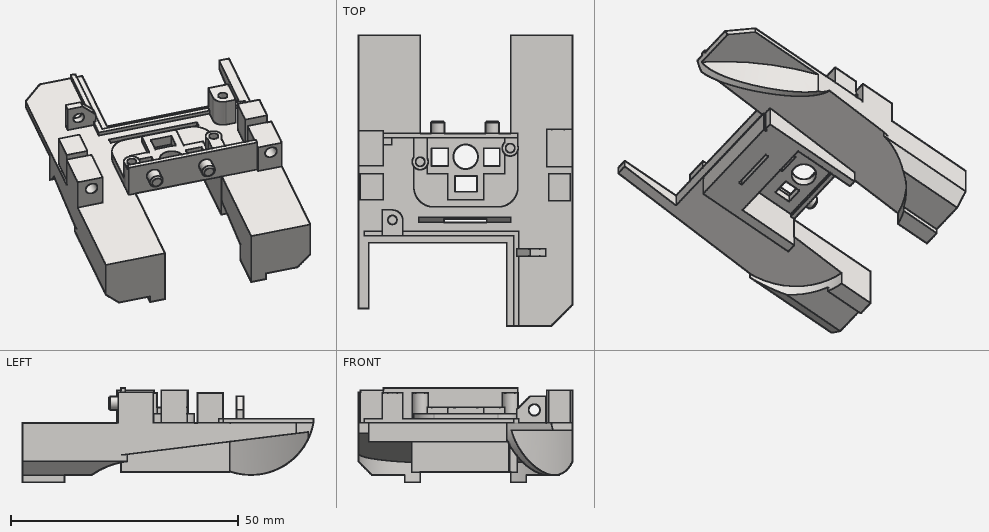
import cadquery as cq
import math

WIDTH = 47.13
LENGTH = 64.03
HEIGHT = 20.8
WALL_TOP = 7.7
BOTTOM = WALL_TOP - HEIGHT
MID_X = WIDTH / 2
OVERCUT = 1.0

DECK_BACK = 42.4
DECK_FRONT_DEPTH = 1.87
DECK_BACK_DEPTH = 7.1
LEFT_ARM_WIDTH = 2.3
LEFT_ARM_FRONT = 3.85
RIGHT_ARM_X = 32.6
BAY_BACK = 18.3
FRONT_CORNER = 4.72

WING_THICKNESS = 1.6
SKIRT_CENTER_X = MID_X - 39.5
SKIRT_CENTER_Y = 45.9
SKIRT_INNER_RADIUS = 66.0
SKIRT_THICKNESS = 1.3
SKIRT_OUTER_RADIUS = SKIRT_INNER_RADIUS + SKIRT_THICKNESS
NOSE_RADIUS = 14.0
NOSE_CENTER_Z = 2.5
NOSE_CENTER_Y = math.sqrt(NOSE_RADIUS**2 - NOSE_CENTER_Z**2)

PRONG_WIDTH = 13.65
PRONG_BOTTOM = NOSE_CENTER_Z - NOSE_RADIUS
PRONG_CHAMFER = 3.0
PRONG_TAB_WIDTH = 3.45
PRONG_HOLLOW_RADIUS = 17.38
PRONG_HOLLOW_X = 6.31
PRONG_HOLLOW_Y = 38.86
PRONG_FRONT = 38.0

BOX_LEFT = 11.7
BOX_RIGHT = 35.0
BOX_BOTTOM = -10.87
BOX_FRONT = BAY_BACK + 0.1
BOX_STRIP_WIDTH = 1.65
BOX_STRIP_RECESS = 0.2
BOX_GROOVE_WIDTH = 0.3
BOX_GROOVE_DEPTH = 0.6

CAVITY_WALL = 1.6
CAVITY_ROOF = 1.0

WALL_LEFT = 5.5
WALL_RIGHT = 35.1
WALL_THICKNESS = 1.0
WALL_FRONT = DECK_BACK - WALL_THICKNESS
WALL_KEY_WIDTH = 1.8
WALL_KEY_LENGTH = 1.55
WALL_KEY_HEIGHT = 6.0
PIN_DIAMETER = 3.0
PIN_LENGTH = 2.7
PIN_TIP = 0.4
PIN_Z = 4.3
PIN_XS = (17.45, 29.45)

PAD_LEFT = 12.2
PAD_FRONT = 26.2
PAD_HEIGHT = 2.04
PAD_CORNER = 4.4
TEE_TOP = 3.4
TEE_LEFT = 15.2
TEE_RIGHT = 32.15
TEE_ARM_FRONT = 33.5
TEE_STEM_LEFT = 19.7
TEE_STEM_RIGHT = 27.6
TEE_STEM_FRONT = 27.8

POST_TOP = 6.57
POST_DIAMETER = 3.5
POST_HOLE_DIAMETER = 2.0
POST_HOLE_DEPTH = 5.0
POST_WEB_WIDTH = 2.95
POST_CENTERS = ((13.6, 36.15), (33.4, 39.15))
SCREW_BLOCK = (5.2, 19.9, 9.77, 25.55)
SCREW_BLOCK_CORNER = 2.3
SCREW_BLOCK_HOLE = (7.5, 23.35)
SCREW_BLOCK_HOLE_DIAMETER = 2.0

REAR_LEFT_BLOCK = (0.0, 35.25, 5.5, 43.0)
REAR_LEFT_TOP = 6.75
REAR_RIGHT_BLOCK = (41.4, 35.05, WIDTH, 43.25)
FRONT_LEFT_BLOCK = (0.45, 27.8, 5.5, 33.5)
FRONT_RIGHT_BLOCK = (41.85, 27.6, 46.65, 33.5)
BLOCK_TOP = 7.2
BLOCK_BORE_DIAMETER = 2.7
BLOCK_BORE_INSET = 2.53
BLOCK_BORE_Z = 4.65

LENS_DIAMETER = 5.35
LENS_CENTER = (23.6, 37.25)
WINDOWS = (
    (16.1, 35.25, 19.75, 39.1),
    (27.6, 35.25, 31.05, 39.1),
    (21.3, 29.6, 26.05, 33.0),
)
SLOT_LEFT = 13.3
SLOT_RIGHT = 33.55
SLOT_FRONT = 22.8
SLOT_BACK = 24.0
SLOT_THROAT_LEFT = 18.85
SLOT_THROAT_RIGHT = 28.2
SLOT_THROAT_BACK = 23.55
SLOT_DEPTH = 2.5

RIB_HEIGHT = 0.9
RIB_LEFT = 1.35
RIB_FRONT = 19.9
RIB_BACK = 20.85
RIB_LEG_LEFT = 34.2
RIB_LEG_RIGHT = 35.3
LUG_LEFT = 34.8
LUG_RIGHT = 41.25
LUG_FRONT = 15.4
LUG_BACK = 17.0
LUG_TOP = 5.87
LUG_CHAMFER = 2.97
LUG_HOLE_X = 38.7
LUG_HOLE_Z = 2.83
LUG_HOLE_DIAMETER = 2.45


def box(footprint, bottom, top):
    """Upright block over a (left, front, right, back) footprint."""
    left, front, right, back = footprint
    size = (right - left, back - front, top - bottom)
    return cq.Workplane("XY").box(*size, centered=False).translate((left, front, bottom))


def rod(center, diameter, bottom, top):
    """Upright cylinder."""
    base = cq.Workplane("XY", origin=(center[0], center[1], bottom))
    return base.circle(diameter / 2).extrude(top - bottom)


def rod_along_y(x, z, diameter, front, back):
    """Cylinder running from front to back."""
    base = cq.Workplane("XZ", origin=(x, front, z))
    return base.circle(diameter / 2).extrude(front - back)


def nose_drum():
    """Drum lying along X that rounds the front of the skirt and right arm."""
    base = cq.Workplane("YZ").center(NOSE_CENTER_Y, NOSE_CENTER_Z)
    return base.circle(NOSE_RADIUS).extrude(WIDTH)


def make_deck():
    deck = (
        cq.Workplane("YZ")
        .polyline([(0, 0), (DECK_BACK, 0), (DECK_BACK, -DECK_BACK_DEPTH), (0, -DECK_FRONT_DEPTH)])
        .close()
        .extrude(WIDTH)
    )
    bay = box((LEFT_ARM_WIDTH, -OVERCUT, RIGHT_ARM_X, BAY_BACK), BOTTOM, OVERCUT)
    left_tip = box((-OVERCUT, -OVERCUT, RIGHT_ARM_X, LEFT_ARM_FRONT), BOTTOM, OVERCUT)
    ahead_of_nose = box((0, -OVERCUT, WIDTH, NOSE_CENTER_Y), BOTTOM, 0).cut(nose_drum())
    return deck.cut(bay).cut(left_tip).cut(ahead_of_nose)


def skirt_cylinder(radius):
    return rod((SKIRT_CENTER_X, SKIRT_CENTER_Y), 2 * radius, BOTTOM, 0)


def thin_wing(deck):
    """Reduce the wing outside the skirt to a flat plate."""
    below_wing = box((RIGHT_ARM_X, -OVERCUT, WIDTH, SKIRT_CENTER_Y), BOTTOM, -WING_THICKNESS)
    return deck.cut(below_wing.cut(skirt_cylinder(SKIRT_OUTER_RADIUS)))


def make_skirt():
    """Curved wall hanging below the right wing."""
    reach = box((RIGHT_ARM_X, 0, WIDTH, SKIRT_CENTER_Y), BOTTOM, 0)
    shell = skirt_cylinder(SKIRT_OUTER_RADIUS).cut(skirt_cylinder(SKIRT_INNER_RADIUS))
    return shell.intersect(reach).intersect(nose_drum())


def make_prongs():
    """Two rear prongs with a common hollow front rounded at both sides."""
    tab_outer = PRONG_WIDTH - PRONG_TAB_WIDTH
    left = (
        cq.Workplane("XZ")
        .polyline([
            (0, 0),
            (PRONG_WIDTH, 0),
            (PRONG_WIDTH, BOTTOM),
            (tab_outer, BOTTOM),
            (tab_outer, PRONG_BOTTOM),
            (PRONG_CHAMFER, PRONG_BOTTOM),
            (0, PRONG_BOTTOM + PRONG_CHAMFER),
        ])
        .close()
        .extrude(PRONG_FRONT - LENGTH)
        .translate((0, PRONG_FRONT, 0))
    )
    right = left.mirror("YZ").translate((WIDTH, 0, 0))
    hollow_left = MID_X - PRONG_HOLLOW_X
    hollow_right = MID_X + PRONG_HOLLOW_X
    hollow_back = PRONG_HOLLOW_Y + PRONG_HOLLOW_RADIUS
    hollow = box((hollow_left, PRONG_FRONT, hollow_right, hollow_back), BOTTOM, 0)
    for x in (hollow_left, hollow_right):
        hollow = hollow.union(rod((x, PRONG_HOLLOW_Y), 2 * PRONG_HOLLOW_RADIUS, BOTTOM, 0))
    slope = (DECK_BACK_DEPTH - DECK_FRONT_DEPTH) / DECK_BACK
    roof_back_depth = DECK_FRONT_DEPTH + slope * LENGTH
    below_roof = (
        cq.Workplane("YZ")
        .polyline([(0, BOTTOM), (LENGTH, BOTTOM), (LENGTH, -roof_back_depth), (0, -DECK_FRONT_DEPTH)])
        .close()
        .extrude(WIDTH)
    )
    return left.union(right).cut(hollow.intersect(below_roof))


def make_under_box():
    """Box below the deck, with a groove and a recessed strip along its right front edge."""
    body = box((BOX_LEFT, BOX_FRONT, BOX_RIGHT, DECK_BACK), BOX_BOTTOM, 0)
    strip_left = BOX_RIGHT - BOX_STRIP_WIDTH
    groove_left = strip_left - BOX_GROOVE_WIDTH
    recess = box((strip_left, BOX_FRONT, BOX_RIGHT, BOX_FRONT + BOX_STRIP_RECESS), BOX_BOTTOM, 0)
    groove = box((groove_left, BOX_FRONT, strip_left, BOX_FRONT + BOX_GROOVE_DEPTH), BOX_BOTTOM, 0)
    return body.cut(recess).cut(groove)


def make_wall():
    wall = box((WALL_LEFT, WALL_FRONT, WALL_RIGHT, DECK_BACK), 0, WALL_TOP)
    key = (WALL_LEFT, WALL_FRONT - WALL_KEY_LENGTH, WALL_LEFT + WALL_KEY_WIDTH, WALL_FRONT)
    wall = wall.union(box(key, 0, WALL_KEY_HEIGHT))
    for x in PIN_XS:
        pin = rod_along_y(x, PIN_Z, PIN_DIAMETER, WALL_FRONT, DECK_BACK + PIN_LENGTH)
        wall = wall.union(pin.faces(">Y").chamfer(PIN_TIP))
    return wall


def make_pad():
    pad = box((PAD_LEFT, PAD_FRONT, WALL_RIGHT, WALL_FRONT), 0, PAD_HEIGHT)
    pad = pad.edges("|Z and <Y").fillet(PAD_CORNER)
    arms = box((TEE_LEFT, TEE_ARM_FRONT, TEE_RIGHT, WALL_FRONT), 0, TEE_TOP)
    stem = box((TEE_STEM_LEFT, TEE_STEM_FRONT, TEE_STEM_RIGHT, TEE_ARM_FRONT), 0, TEE_TOP)
    return pad.union(arms).union(stem)


def make_post(center, web_left):
    """Round post with a straight web running back to the wall."""
    web = box((web_left, center[1], web_left + POST_WEB_WIDTH, WALL_FRONT), 0, POST_TOP)
    return rod(center, POST_DIAMETER, 0, POST_TOP).union(web)


def make_screw_block():
    block = box(SCREW_BLOCK, 0, POST_TOP)
    return block.edges("|Z and >X and >Y").fillet(SCREW_BLOCK_CORNER)


def make_bored_block(footprint, top):
    """Side block with a bore running from front to back."""
    left, front, _, back = footprint
    bore = rod_along_y(left + BLOCK_BORE_INSET, BLOCK_BORE_Z, BLOCK_BORE_DIAMETER, front, back)
    return box(footprint, 0, top).cut(bore)


def make_rib():
    across = box((RIB_LEFT, RIB_FRONT, RIB_LEG_RIGHT, RIB_BACK), 0, RIB_HEIGHT)
    leg = box((RIB_LEG_LEFT, 0, RIB_LEG_RIGHT, RIB_BACK), 0, RIB_HEIGHT)
    return across.union(leg)


def make_lug():
    lug = box((LUG_LEFT, LUG_FRONT, LUG_RIGHT, LUG_BACK), 0, LUG_TOP)
    lug = lug.edges("|Y and <X and >Z").chamfer(LUG_CHAMFER)
    return lug.cut(rod_along_y(LUG_HOLE_X, LUG_HOLE_Z, LUG_HOLE_DIAMETER, LUG_FRONT, LUG_BACK))


def make_openings():
    """Round opening and square windows through pad, deck and box."""
    openings = rod(LENS_CENTER, LENS_DIAMETER, BOTTOM, TEE_TOP)
    for window in WINDOWS:
        openings = openings.union(box(window, BOTTOM, TEE_TOP))
    return openings


def make_slot():
    """Narrow groove with a sloped back, and a throat running on down through the box."""
    groove = (
        cq.Workplane("YZ", origin=(SLOT_LEFT, 0, 0))
        .polyline([(SLOT_FRONT, 0), (SLOT_BACK, 0), (SLOT_FRONT, -SLOT_DEPTH)])
        .close()
        .extrude(SLOT_RIGHT - SLOT_LEFT)
    )
    throat = box((SLOT_THROAT_LEFT, SLOT_FRONT, SLOT_THROAT_RIGHT, SLOT_THROAT_BACK), BOTTOM, 0)
    return groove.union(throat)


def make_cavity():
    """Hollow below the pad, roofed by it and open at the bottom and back."""
    left = PAD_LEFT + CAVITY_WALL
    right = BOX_RIGHT - CAVITY_WALL
    front = PAD_FRONT + CAVITY_WALL
    upper = box((left, front, right, WALL_FRONT), BOTTOM, CAVITY_ROOF)
    back_opening = box((left, WALL_FRONT, right, DECK_BACK), BOTTOM, 0)
    return upper.union(back_opening)


def make_front_corner():
    """Triangular prism that bevels the right front corner of the wing."""
    return (
        cq.Workplane("XY", origin=(0, 0, BOTTOM))
        .polyline([(WIDTH - FRONT_CORNER, 0), (WIDTH, 0), (WIDTH, FRONT_CORNER)])
        .close()
        .extrude(-BOTTOM)
    )


body = thin_wing(make_deck()).union(make_skirt()).cut(make_front_corner())
body = body.union(make_prongs()).union(make_under_box())
body = body.union(make_wall()).union(make_pad())

left_post, right_post = POST_CENTERS
body = body.union(make_post(left_post, PAD_LEFT))
body = body.union(make_post(right_post, WALL_RIGHT - POST_WEB_WIDTH))
body = body.union(make_screw_block())

body = body.union(make_bored_block(REAR_LEFT_BLOCK, REAR_LEFT_TOP))
body = body.union(make_bored_block(REAR_RIGHT_BLOCK, BLOCK_TOP))
for footprint in (FRONT_LEFT_BLOCK, FRONT_RIGHT_BLOCK):
    body = body.union(box(footprint, 0, BLOCK_TOP))

body = body.union(make_rib()).union(make_lug())
body = body.cut(make_openings()).cut(make_slot()).cut(make_cavity())

for post_center in POST_CENTERS:
    body = body.cut(rod(post_center, POST_HOLE_DIAMETER, POST_TOP - POST_HOLE_DEPTH, POST_TOP))
body = body.cut(
    rod(SCREW_BLOCK_HOLE, SCREW_BLOCK_HOLE_DIAMETER, POST_TOP - POST_HOLE_DEPTH, POST_TOP)
)

result = body